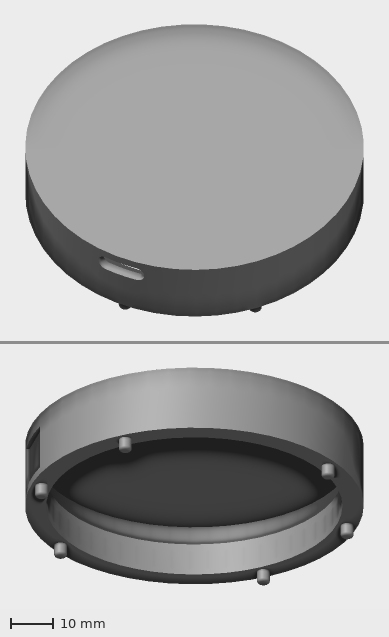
import cadquery as cq
import math

outer_diameter = 80.0
ring_bore_diameter = 70.0
ring_height = 8.0
wall_thickness = 2.2
body_height = 16.0
roof_thickness = 2.0

pin_diameter = 3.0
pin_length = 3.0
pin_tip_fillet = 0.7
side_pin_angle = 41.6

slot_width = 12.0
slot_height = 4.0
slot_center_z = 12.0

recess_width = 12.0
recess_height = 10.9
recess_center_z = 7.2
recess_depth = 1.2

ring_middle_radius = (outer_diameter + ring_bore_diameter) / 4
outer_radius = outer_diameter / 2


def make_cup():
    """Round cup with a closed roof, a thin upper wall and a thick ring around the open underside."""
    body = cq.Workplane("XY").circle(outer_radius).extrude(body_height)
    bore = cq.Workplane("XY").circle(ring_bore_diameter / 2).extrude(ring_height)
    chamber = (
        cq.Workplane("XY")
        .workplane(offset=ring_height)
        .circle(outer_radius - wall_thickness)
        .extrude(body_height - ring_height - roof_thickness)
    )
    return body.cut(bore).cut(chamber)


def make_slot():
    """Rounded slot through the -Y wall."""
    return (
        cq.Workplane("XZ")
        .center(0, slot_center_z)
        .slot2D(slot_width, slot_height)
        .extrude(outer_radius)
    )


def make_recess():
    """Shallow flat-bottomed rectangular recess in the +Y side."""
    return (
        cq.Workplane("XZ", origin=(0, outer_radius - recess_depth, 0))
        .center(0, recess_center_z)
        .rect(recess_width, recess_height)
        .extrude(-outer_radius)
    )


def make_pins():
    """Six locating pins under the middle of the ring, with rounded tips."""
    angles = [90, 270]
    for side in (0, 180):
        angles += [side - side_pin_angle, side + side_pin_angle]
    points = [
        (
            ring_middle_radius * math.cos(math.radians(angle)),
            ring_middle_radius * math.sin(math.radians(angle)),
        )
        for angle in angles
    ]
    return (
        cq.Workplane("XY")
        .pushPoints(points)
        .circle(pin_diameter / 2)
        .extrude(-pin_length)
        .faces("<Z")
        .edges()
        .fillet(pin_tip_fillet)
    )


result = make_cup().cut(make_slot()).cut(make_recess()).union(make_pins())